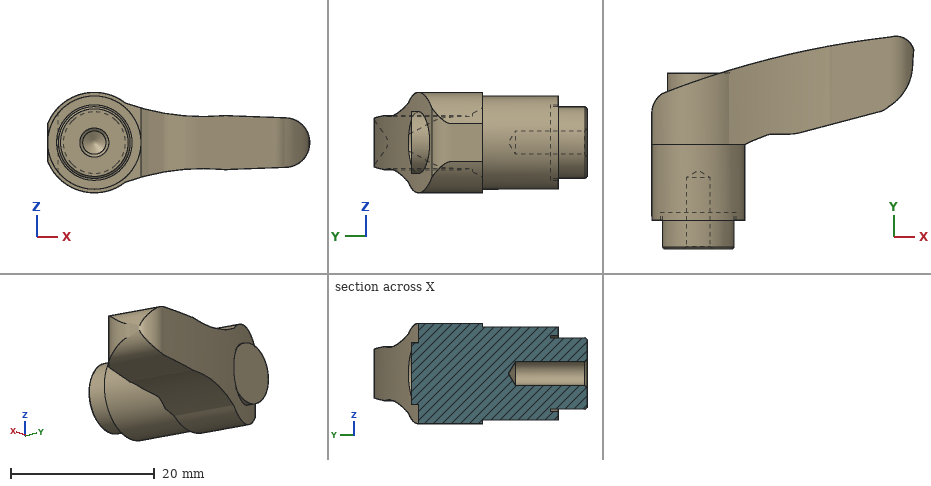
import cadquery as cq
import math


insert_diameter = 10.0
insert_chamfer = 0.3
sleeve_diameter = 13.0
sleeve_bottom = 4.0
head_diameter = 14.0
head_bottom = 14.55
button_diameter = 8.6
button_top = 24.5
clearance_diameter = 10.5
clearance_depth = 1.1

hole_diameter = 3.25
hole_depth = 10.0
countersink_diameter = 4.05
drill_point_angle = 118.0

total_length = 36.5
total_height = 29.67
head_left = -sleeve_diameter / 2
tip_x = head_left + total_length
tip_radius = 3.45
tip_center_x = tip_x - tip_radius
waist_middle = (9.6, 4.12)
flare_x = 4.3
bulge_start_x = 17.95
bulge_end_x = 18.6
bulge_half_width = 3.75
bulge_crown = 0.05
underside_y = 16.0
ramp_end_x = 9.85
ramp_fillet = 1.9
ramp_bend = (7.55, 15.07)


def cylinder(diameter, bottom, top):
    """Cylinder on the clamping axis between two heights along Y."""
    return cq.Workplane("XZ", origin=(0, bottom, 0)).circle(diameter / 2).extrude(bottom - top)


def lever_side_profile():
    """Lever and head outline in the XY plane, extruded across the full width."""
    grip_underside = (24.95, 19.05)
    outline = (
        cq.Workplane("XY", origin=(0, 0, -head_diameter / 2))
        .moveTo(head_left, head_bottom)
        .lineTo(head_left, 18.87)
        .threePointArc((-6.1, 20.48), (-5.07, 21.65))
        .threePointArc((10.3, 26.57), (26.55, 29.53))
        .lineTo(27.38, total_height)
        .threePointArc((29.25, 28.98), (tip_x, 27.75))
        .lineTo(29.85, 25.9)
        .threePointArc((29.13, 22.7), (26.55, 19.85))
        .threePointArc((25.85, 19.35), grip_underside)
        .lineTo(14.75, 16.35)
        .threePointArc((13.72, 16.1), (12.65, underside_y))
        .lineTo(ramp_end_x, underside_y)
        .lineTo(*ramp_bend)
        .lineTo(-head_left, head_bottom)
        .close()
        .extrude(head_diameter)
    )
    ramp_edge = cq.selectors.NearestToPointSelector((ramp_end_x, underside_y, 0))
    return outline.edges(ramp_edge).fillet(ramp_fillet)


def lever_plan():
    """Waisted handle outline in the XZ plane, joined to the round head."""
    flare_half_width = math.sqrt((head_diameter / 2) ** 2 - flare_x**2)
    reach = tip_center_x - bulge_end_x
    distance = math.hypot(reach, bulge_half_width)
    tangent_angle = math.atan2(bulge_half_width, -reach) - math.acos(tip_radius / distance)
    tangent_x = tip_center_x + tip_radius * math.cos(tangent_angle)
    tangent_half_width = tip_radius * math.sin(tangent_angle)
    crown = ((bulge_start_x + bulge_end_x) / 2, bulge_half_width + bulge_crown)
    half_handle = (
        cq.Workplane("XZ")
        .moveTo(flare_x, 0)
        .lineTo(flare_x, flare_half_width)
        .threePointArc(waist_middle, (bulge_start_x, bulge_half_width))
        .threePointArc(crown, (bulge_end_x, bulge_half_width))
        .lineTo(tangent_x, tangent_half_width)
        .threePointArc(
            (
                tip_center_x + tip_radius * math.cos(tangent_angle / 2),
                tip_radius * math.sin(tangent_angle / 2),
            ),
            (tip_x, 0),
        )
        .close()
        .extrude(-total_height)
    )
    handle = half_handle.union(half_handle.mirror("XY")).clean()
    return handle.union(cylinder(head_diameter, 0, total_height))


def threaded_hole():
    """Countersunk blind hole with a conical bottom."""
    radius = hole_diameter / 2
    countersink_radius = countersink_diameter / 2
    cone_height = radius / math.tan(math.radians(drill_point_angle / 2))
    return (
        cq.Workplane("XY")
        .moveTo(0, 0)
        .lineTo(countersink_radius, 0)
        .lineTo(radius, countersink_radius - radius)
        .lineTo(radius, hole_depth)
        .lineTo(0, hole_depth + cone_height)
        .close()
        .revolve(360, (0, 0, 0), (0, 1, 0))
    )


lever = lever_side_profile().intersect(lever_plan())
lever = lever.cut(cylinder(button_diameter, button_top, total_height))

sleeve = cylinder(sleeve_diameter, sleeve_bottom, head_bottom)
sleeve = sleeve.cut(cylinder(clearance_diameter, sleeve_bottom, sleeve_bottom + clearance_depth))

insert = cylinder(insert_diameter, 0, head_bottom).faces("<Y").chamfer(insert_chamfer)
button = cylinder(button_diameter, head_bottom, button_top)

result = lever.union(sleeve).union(insert).union(button).cut(threaded_hole())